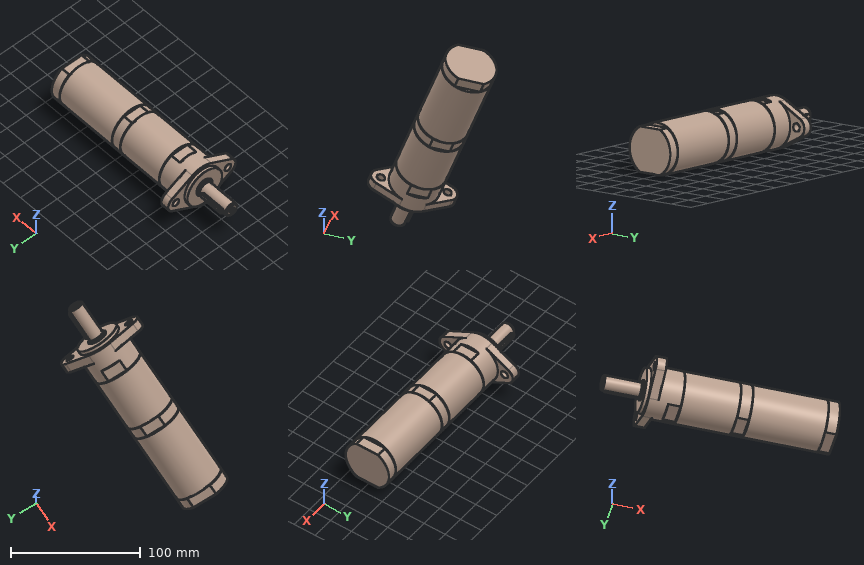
import cadquery as cq
import math

total_length = 184.2
collar_start = 30.0
pilot_start = 31.1
flange_start = 34.5
flange_thickness = 8.0

body_diameter = 41.5
pilot_diameter = 36.0
seal_step_diameter = 16.0
seal_step_depth = 0.5
seal_bore_diameter = 15.0
collar_diameter = 14.2
shaft_diameter = 12.0
shaft_chamfer = 1.0

center_hole_diameter = 3.3
center_hole_mouth_diameter = 5.0
center_hole_depth = 8.3
drill_point_angle = 118.0

key_start = 3.0
key_length = 24.9
key_width = 4.0
key_height = 4.0
key_top = 7.5

flange_span = 70.0
bolt_spacing = 54.0
bolt_hole_diameter = 6.5

front_neck_start = 50.5
front_neck_end = 60.5
middle_neck_start = 105.2
middle_neck_end = 114.8
rear_flats_start = 175.0
neck_flats_across = 38.0
rear_flats_across = 36.0
wrench_flats = [
    (front_neck_start, front_neck_end, neck_flats_across),
    (middle_neck_start, middle_neck_end, neck_flats_across),
    (rear_flats_start, total_length, rear_flats_across),
]

groove_starts = [front_neck_end, middle_neck_start, middle_neck_end, rear_flats_start]
groove_width = 0.4
groove_depth = 0.2


def cylinder_along_x(start, end, diameter):
    return cq.Workplane("YZ", origin=(start, 0, 0)).circle(diameter / 2).extrude(end - start)


def make_flange_ear():
    """Ear on the +Y side, straight edges tangent to the body circle and to the rounded end."""
    body_radius = body_diameter / 2
    bolt_offset = bolt_spacing / 2
    end_radius = flange_span / 2 - bolt_offset
    tangent_sin = (body_radius - end_radius) / bolt_offset
    tangent_cos = math.sqrt(1 - tangent_sin ** 2)
    body_y = body_radius * tangent_sin
    body_z = body_radius * tangent_cos
    end_y = bolt_offset + end_radius * tangent_sin
    end_z = end_radius * tangent_cos
    return (
        cq.Workplane("YZ", origin=(flange_start, 0, 0))
        .moveTo(body_y, body_z)
        .lineTo(end_y, end_z)
        .threePointArc((flange_span / 2, 0), (end_y, -end_z))
        .lineTo(body_y, -body_z)
        .close()
        .extrude(flange_thickness)
    )


def make_bolt_holes():
    """Pins that cut one through hole in each flange ear."""
    return (
        cq.Workplane("YZ", origin=(flange_start, 0, 0))
        .pushPoints([(-bolt_spacing / 2, 0), (bolt_spacing / 2, 0)])
        .circle(bolt_hole_diameter / 2)
        .extrude(flange_thickness)
    )


def make_flat_cut(start, end, across):
    """Material outside two parallel planes facing up and down."""
    length = end - start
    middle = (start + end) / 2
    width = 2 * body_diameter
    block = cq.Workplane("XY", origin=(middle, 0, 0)).box(length, width, width)
    kept = cq.Workplane("XY", origin=(middle, 0, 0)).box(length, width, across)
    return block.cut(kept)


def make_groove(start):
    """Ring of material to remove around the body."""
    end = start + groove_width
    outer = cylinder_along_x(start, end, 2 * body_diameter)
    return outer.cut(cylinder_along_x(start, end, body_diameter - 2 * groove_depth))


def make_key():
    """Key with round ends, set in the +Y side of the shaft."""
    return (
        cq.Workplane("XZ", origin=(key_start + key_length / 2, key_top, 0))
        .slot2D(key_length, key_width)
        .extrude(key_height)
    )


def make_center_hole():
    """Countersunk bore with a conical bottom, revolved about the shaft axis."""
    radius = center_hole_diameter / 2
    mouth_radius = center_hole_mouth_diameter / 2
    point_length = radius / math.tan(math.radians(drill_point_angle / 2))
    profile = [
        (0, 0),
        (0, mouth_radius),
        (mouth_radius - radius, radius),
        (center_hole_depth, radius),
        (center_hole_depth + point_length, 0),
    ]
    return cq.Workplane("XY").polyline(profile).close().revolve(360, (0, 0, 0), (1, 0, 0))


flange_ear = make_flange_ear()
housing = cylinder_along_x(flange_start, total_length, body_diameter)
housing = housing.union(flange_ear).union(flange_ear.mirror("XZ"))
for start, end, across in wrench_flats:
    housing = housing.cut(make_flat_cut(start, end, across))
for start in groove_starts:
    housing = housing.cut(make_groove(start))
housing = housing.cut(make_bolt_holes())
housing = housing.union(cylinder_along_x(pilot_start, flange_start, pilot_diameter))
housing = housing.cut(cylinder_along_x(pilot_start, flange_start, seal_bore_diameter))
housing = housing.cut(cylinder_along_x(pilot_start, pilot_start + seal_step_depth, seal_step_diameter))

shaft = cylinder_along_x(0, flange_start, shaft_diameter).faces("<X").chamfer(shaft_chamfer)
shaft = shaft.union(cylinder_along_x(collar_start, flange_start, collar_diameter))
shaft = shaft.union(make_key()).cut(make_center_hole())

result = housing.union(shaft)